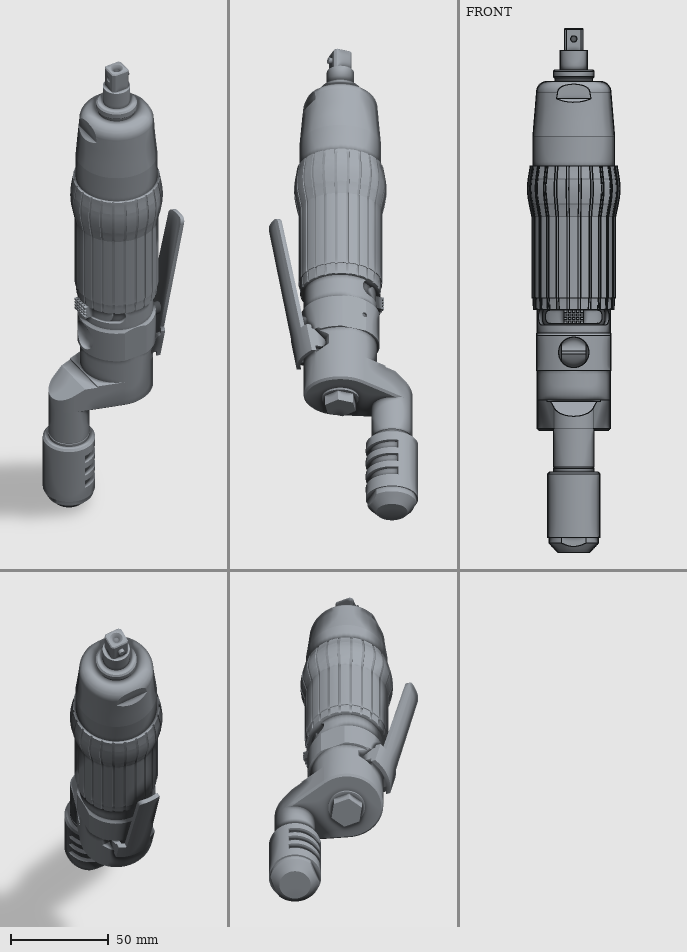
import cadquery as cq
import math

TOTAL_HEIGHT = 268.7

DRIVE_HALF_WIDTH = 4.8
DRIVE_CORNER_RADIUS = 6.05
DRIVE_TOP_CHAMFER = 0.5
CENTRE_MOUTH_RADIUS = 3.2
CENTRE_FLOOR_RADIUS = 1.3
CENTRE_DEPTH = 2.0
DRIVE_BOTTOM = 257.5
DETENT_Z = 263.3
DETENT_RADIUS = 1.5
DETENT_REACH = 6.7
DETENT_HOLE_DEPTH = 2.7
SPINDLE_RADIUS = 7.0
COLLAR_TOP = 247.5
COLLAR_BOTTOM = 243.2
COLLAR_RADIUS = 10.5
COLLAR_CHAMFER = 0.8
NECK_RADIUS = 9.7

CAP_TOP = 241.5
CAP_FILLET = 5.6
CAP_TOP_RADIUS = 19.0
CAP_BASE_RADIUS = 21.0
CAP_TAPER_BOTTOM = 213.3
CAP_FLAT_Y = 17.2
CAP_FLAT_BOTTOM = 232.7
CAP_LEDGE_DROP = 0.8

RING_TOP = 198.3
RING_TOP_RADIUS = 22.3
RING_DIAMETER = 47.5
RING_RADIUS = RING_DIAMETER / 2
RING_SHOULDER = 191.5
RING_SHOULDER_RADIUS = 23.5
RING_MIDDLE = 186.0
RING_FOOT = 178.7
RING_FOOT_RADIUS = 22.8
GRIP_TOP = 172.2
GRIP_RADIUS = 21.5
GRIP_BOTTOM = 130.5
SKIRT_BOTTOM = 124.7
SKIRT_TOP_RADIUS = 21.0
SKIRT_BOTTOM_RADIUS = 20.7
FLUTE_COUNT = 23
FLUTE_WIDTH = 1.3
FLUTE_DEPTH = 0.5

BODY_RADIUS = 18.8
BODY_BOTTOM = 62.5
BAND_RADIUS = 20.2
BAND_TOP = 111.2
BAND_BOTTOM = 93.2
BAND_LEDGE = 1.3
BAND_FLAT_X = 19.0
PIN_HOLE_Y = -6.0
PIN_HOLE_RADIUS = 1.3
PIN_HOLE_DEPTH = 2.7

SLOT_Z = 121
SLOT_HEIGHT = 8.3
SLOT_FLOOR_RADIUS = 16.7
SLOT_HALF_ANGLE = 61
SELECTOR_RADIUS = 18.3
SELECTOR_HEIGHT = 7.0
SELECTOR_HALF_ANGLE = 42
TAB_HALF_WIDTH = 5.0
TAB_REACH = 22.0
TAB_ROWS = 4
TAB_COLUMNS = 5
TAB_GROOVE_WIDTH = 0.8
TAB_GROOVE_DEPTH = 1.0

KNOB_Z = 102.6
KNOB_RADIUS = 7.8
KNOB_BACK_Y = -10.7
KNOB_BAR_HALF_LENGTH = 6.2
KNOB_BAR_HALF_THICKNESS = 0.8
KNOB_FRONT_Y = -14.8

TUBE_Y = -28.5
TUBE_RADIUS = 10.5
ARM_TOP = 78.2
ARM_CHAMFER = 1.0
ARM_STEP = 0.8
ARM_STEP_Y = -19.5
SLOPE_START_Y = -25.8
SLOPE_END_Z = 69.9
TUBE_GROOVE_Z = 43
TUBE_GROOVE_HEIGHT = 0.8
TUBE_GROOVE_DEPTH = 0.4
MUFFLER_RADIUS = 13.5
MUFFLER_TOP = 41.5
MUFFLER_BOTTOM = 7.8
MUFFLER_CHAMFER = 1.0
VENT_COUNT = 3
VENT_TOP = 35.5
VENT_HEIGHT = 4.5
VENT_PITCH = 8
VENT_FLOOR_RADIUS = 11.3
VENT_END_Y = -27
FOOT_RADIUS = 12.5
FOOT_CONE_TOP = 4.8
FOOT_BOTTOM_RADIUS = 8
FOOT_FLAT_OFFSET = 11.0

WASHER_RADIUS = 9.5
WASHER_BOTTOM = 61.5
PLUG_CORNER_RADIUS = 8.3
PLUG_BOTTOM = 56.2

LEVER_BOTTOM_Y = 22.5
LEVER_BOTTOM_Z = 80.0
LEVER_TOP_Y = 38.2
LEVER_TOP_Z = 158.8
LEVER_CURVE_RADIUS = 21.5
LEVER_THICKNESS = 2.1
LEVER_TOP_HALF_WIDTH = 6.0
LEVER_NECK_HALF_WIDTH = 6.7
LEVER_TOP_CORNER = 2.7
LEVER_BASE_LENGTH = 15.0
EAR_OUTER_X = 10.5
EAR_INNER_X = 7.8
EAR_TOP = 93.5
EAR_END_RADIUS = 3.0
HINGE_Y = 15.3
HINGE_Z = 86.8
HINGE_RADIUS = 1.5
HINGE_POCKET_Y = 12.0
HINGE_POCKET_BOTTOM = 81.0
HINGE_POCKET_TOP = 94.3
PLUNGER_RADIUS = 3.2

FAR = 80.5

lever_run = LEVER_TOP_Z - LEVER_BOTTOM_Z
lever_length = math.hypot(LEVER_TOP_Y - LEVER_BOTTOM_Y, lever_run)
tilt_sin = (LEVER_TOP_Y - LEVER_BOTTOM_Y) / lever_length
tilt_cos = lever_run / lever_length


def cylinder(radius, bottom, top, y=0):
    return cq.Workplane("XY", origin=(0, y, bottom)).circle(radius).extrude(top - bottom)


def cross_cylinder(radius, z, y_start, y_end):
    """Cylinder along Y in the plane X = 0."""
    plane = cq.Plane(origin=(0, y_start, z), xDir=(1, 0, 0), normal=(0, 1, 0))
    return cq.Workplane(plane).circle(radius).extrude(y_end - y_start)


def block(x_range, y_range, z_range):
    size = [high - low for low, high in (x_range, y_range, z_range)]
    corner = (x_range[0], y_range[0], z_range[0])
    return cq.Workplane("XY").box(*size, centered=False).translate(corner)


def front_sector(radius, half_angle, z, height):
    """Pie slice around the tool axis, centred on the -Y direction."""
    corner_x = radius * math.sin(math.radians(half_angle))
    corner_y = -radius * math.cos(math.radians(half_angle))
    return (
        cq.Workplane("XY", origin=(0, 0, z - height / 2))
        .lineTo(-corner_x, corner_y)
        .threePointArc((0, -radius), (corner_x, corner_y))
        .close()
        .extrude(height)
    )


def centre_recess():
    """Conical centre mark in the tip of the drive."""
    return (
        cq.Workplane("XZ")
        .moveTo(0, TOTAL_HEIGHT)
        .lineTo(CENTRE_MOUTH_RADIUS, TOTAL_HEIGHT)
        .lineTo(CENTRE_FLOOR_RADIUS, TOTAL_HEIGHT - CENTRE_DEPTH)
        .lineTo(0, TOTAL_HEIGHT - CENTRE_DEPTH)
        .close()
        .revolve(360, (0, 0), (0, 1))
    )


def make_output_end():
    side = 2 * DRIVE_HALF_WIDTH
    drive = (
        cq.Workplane("XY", origin=(0, 0, DRIVE_BOTTOM))
        .rect(side, side)
        .extrude(TOTAL_HEIGHT - DRIVE_BOTTOM)
    )
    turned = cylinder(DRIVE_CORNER_RADIUS, DRIVE_BOTTOM, TOTAL_HEIGHT)
    drive = drive.intersect(turned).faces(">Z").chamfer(DRIVE_TOP_CHAMFER).cut(centre_recess())
    hole_end = DETENT_HOLE_DEPTH - DRIVE_HALF_WIDTH
    drive = drive.cut(cross_cylinder(DETENT_RADIUS, DETENT_Z, -DRIVE_HALF_WIDTH, hole_end))
    detent = cross_cylinder(DETENT_RADIUS, DETENT_Z, 0, DETENT_REACH)
    spindle = cylinder(SPINDLE_RADIUS, CAP_TOP, DRIVE_BOTTOM)
    collar = cylinder(COLLAR_RADIUS, COLLAR_BOTTOM, COLLAR_TOP).edges().chamfer(COLLAR_CHAMFER)
    neck = cylinder(NECK_RADIUS, CAP_TOP, COLLAR_BOTTOM)
    return drive.union(detent).union(spindle).union(collar).union(neck)


def make_cap():
    fillet_start = CAP_TOP - CAP_FILLET
    top_flat_radius = CAP_TOP_RADIUS - CAP_FILLET
    diagonal = CAP_FILLET * math.sqrt(0.5)
    cap = (
        cq.Workplane("XZ")
        .moveTo(0, RING_TOP)
        .lineTo(CAP_BASE_RADIUS, RING_TOP)
        .lineTo(CAP_BASE_RADIUS, CAP_TAPER_BOTTOM)
        .lineTo(CAP_TOP_RADIUS, fillet_start)
        .threePointArc((top_flat_radius + diagonal, fillet_start + diagonal), (top_flat_radius, CAP_TOP))
        .lineTo(0, CAP_TOP)
        .close()
        .revolve(360, (0, 0), (0, 1))
    )
    flat_cut = (
        cq.Workplane("YZ")
        .moveTo(CAP_FLAT_Y, CAP_TOP)
        .lineTo(CAP_FLAT_Y, CAP_FLAT_BOTTOM)
        .lineTo(CAP_BASE_RADIUS, CAP_FLAT_BOTTOM - CAP_LEDGE_DROP * (CAP_BASE_RADIUS - CAP_FLAT_Y))
        .lineTo(CAP_BASE_RADIUS, CAP_TOP)
        .close()
        .extrude(FAR, both=True)
    )
    return cap.cut(flat_cut).cut(flat_cut.mirror("XZ"))


def grip_blank(inset):
    """Turned grip with its bulged ring, with every radius reduced by the inset."""
    return (
        cq.Workplane("XZ")
        .moveTo(0, SKIRT_BOTTOM)
        .lineTo(SKIRT_BOTTOM_RADIUS - inset, SKIRT_BOTTOM)
        .lineTo(SKIRT_TOP_RADIUS - inset, GRIP_BOTTOM)
        .lineTo(GRIP_RADIUS - inset, GRIP_BOTTOM)
        .lineTo(GRIP_RADIUS - inset, GRIP_TOP)
        .lineTo(RING_FOOT_RADIUS - inset, RING_FOOT)
        .threePointArc((RING_RADIUS - inset, RING_MIDDLE), (RING_SHOULDER_RADIUS - inset, RING_SHOULDER))
        .lineTo(RING_TOP_RADIUS - inset, RING_TOP)
        .lineTo(0, RING_TOP)
        .close()
        .revolve(360, (0, 0), (0, 1))
    )


def make_grip():
    half_width = FLUTE_WIDTH / 2
    flute = block((-half_width, half_width), (0, FAR), (SKIRT_BOTTOM, RING_TOP))
    grip = grip_blank(0)
    core = grip_blank(FLUTE_DEPTH)
    for index in range(FLUTE_COUNT):
        angle = index * 360 / FLUTE_COUNT
        grip = grip.cut(flute.rotate((0, 0, 0), (0, 0, 1), angle))
    return grip.union(core)


def make_band():
    band = (
        cq.Workplane("XZ")
        .moveTo(0, BAND_BOTTOM)
        .lineTo(BAND_RADIUS, BAND_BOTTOM)
        .lineTo(BAND_RADIUS, BAND_TOP)
        .lineTo(BODY_RADIUS, BAND_TOP + BAND_LEDGE)
        .lineTo(0, BAND_TOP + BAND_LEDGE)
        .close()
        .revolve(360, (0, 0), (0, 1))
    )
    flats = block((-BAND_FLAT_X, BAND_FLAT_X), (-FAR, FAR), (0, TOTAL_HEIGHT))
    pin_hole = (
        cq.Workplane("YZ", origin=(-BAND_FLAT_X, 0, 0))
        .center(PIN_HOLE_Y, KNOB_Z)
        .circle(PIN_HOLE_RADIUS)
        .extrude(PIN_HOLE_DEPTH)
    )
    return band.intersect(flats).cut(pin_hole)


def curved_bar(radius, half_angle, height):
    """Bar around the front of the tool axis at the selector level, with round ends."""
    bar = front_sector(FAR, half_angle, SLOT_Z, height)
    for angle in (-half_angle, half_angle):
        end = cross_cylinder(height / 2, SLOT_Z, -FAR, 0)
        bar = bar.union(end.rotate((0, 0, 0), (0, 0, 1), angle))
    return bar.intersect(cylinder(radius, BAND_TOP, GRIP_BOTTOM))


def selector_slot():
    slot = curved_bar(BAND_RADIUS, SLOT_HALF_ANGLE, SLOT_HEIGHT)
    return slot.cut(cylinder(SLOT_FLOOR_RADIUS, BAND_TOP, GRIP_BOTTOM))


def make_selector():
    return curved_bar(SELECTOR_RADIUS, SELECTOR_HALF_ANGLE, SELECTOR_HEIGHT).union(make_tab())


def make_tab():
    """Finger tab with a grid of grooves across its face."""
    bottom = SLOT_Z - SELECTOR_HEIGHT / 2
    tab = block((-TAB_HALF_WIDTH, TAB_HALF_WIDTH), (-TAB_REACH, 0), (bottom, bottom + SELECTOR_HEIGHT))
    half_groove = TAB_GROOVE_WIDTH / 2
    groove_y = (-TAB_REACH, TAB_GROOVE_DEPTH - TAB_REACH)
    for row in range(1, TAB_ROWS):
        z = bottom + row * SELECTOR_HEIGHT / TAB_ROWS
        tab = tab.cut(block((-FAR, FAR), groove_y, (z - half_groove, z + half_groove)))
    for column in range(1, TAB_COLUMNS):
        x = -TAB_HALF_WIDTH + column * 2 * TAB_HALF_WIDTH / TAB_COLUMNS
        tab = tab.cut(block((x - half_groove, x + half_groove), groove_y, (0, TOTAL_HEIGHT)))
    return tab


def knob_pocket():
    return cross_cylinder(KNOB_RADIUS, KNOB_Z, -FAR, KNOB_BACK_Y)


def make_knob():
    """Grip bar across the pocket, with a sloped flank above and below it."""
    bar = KNOB_BAR_HALF_THICKNESS
    ridge = (
        cq.Workplane("YZ", origin=(-KNOB_BAR_HALF_LENGTH, 0, KNOB_Z))
        .moveTo(KNOB_FRONT_Y, -bar)
        .lineTo(KNOB_FRONT_Y, bar)
        .lineTo(KNOB_BACK_Y, KNOB_RADIUS)
        .lineTo(KNOB_BACK_Y, -KNOB_RADIUS)
        .close()
        .extrude(2 * KNOB_BAR_HALF_LENGTH)
    )
    return ridge.intersect(knob_pocket())


def make_arm():
    """Arm tangent to the valve body and to the exhaust tube, sloped at its outer end."""
    lean = (BODY_RADIUS - TUBE_RADIUS) / TUBE_Y
    spread = math.sqrt(1 - lean**2)
    body_x = BODY_RADIUS * spread
    body_y = BODY_RADIUS * lean
    tube_x = TUBE_RADIUS * spread
    tube_y = TUBE_Y + TUBE_RADIUS * lean
    arm = (
        cq.Workplane("XY", origin=(0, 0, BODY_BOTTOM))
        .moveTo(-body_x, body_y)
        .threePointArc((0, BODY_RADIUS), (body_x, body_y))
        .lineTo(tube_x, tube_y)
        .threePointArc((0, TUBE_Y - TUBE_RADIUS), (-tube_x, tube_y))
        .close()
        .extrude(ARM_TOP - BODY_BOTTOM)
        .faces("<Z")
        .edges()
        .chamfer(ARM_CHAMFER)
    )
    tube = cylinder(TUBE_RADIUS, MUFFLER_TOP, BODY_BOTTOM + ARM_CHAMFER, TUBE_Y)
    return arm.cut(arm_top_cut()).union(tube)


def arm_top_cut():
    """Shallow step, then the slope toward the outer end."""
    step_top = ARM_TOP - ARM_STEP
    slope = (step_top - SLOPE_END_Z) / (SLOPE_START_Y - TUBE_Y + TUBE_RADIUS)
    return (
        cq.Workplane("YZ")
        .moveTo(ARM_STEP_Y, ARM_TOP)
        .lineTo(ARM_STEP_Y, step_top)
        .lineTo(SLOPE_START_Y, step_top)
        .lineTo(SLOPE_START_Y - FAR, step_top - slope * FAR)
        .lineTo(SLOPE_START_Y - FAR, ARM_TOP)
        .close()
        .extrude(FAR, both=True)
    )


def tube_groove():
    top = TUBE_GROOVE_Z + TUBE_GROOVE_HEIGHT
    outer = cylinder(TUBE_RADIUS, TUBE_GROOVE_Z, top, TUBE_Y)
    return outer.cut(cylinder(TUBE_RADIUS - TUBE_GROOVE_DEPTH, TUBE_GROOVE_Z, top, TUBE_Y))


def make_muffler():
    shell = cylinder(MUFFLER_RADIUS, MUFFLER_BOTTOM, MUFFLER_TOP, TUBE_Y)
    shell = shell.faces(">Z").edges().chamfer(MUFFLER_CHAMFER)
    core = cylinder(VENT_FLOOR_RADIUS, MUFFLER_BOTTOM, MUFFLER_TOP, TUBE_Y)
    for index in range(VENT_COUNT):
        top = VENT_TOP - index * VENT_PITCH
        vent = block((-FAR, FAR), (VENT_END_Y, FAR), (top - VENT_HEIGHT, top))
        shell = shell.cut(vent.cut(core))
    foot = (
        cq.Workplane("XZ", origin=(0, TUBE_Y, 0))
        .lineTo(FOOT_BOTTOM_RADIUS, 0)
        .lineTo(FOOT_RADIUS, FOOT_CONE_TOP)
        .lineTo(FOOT_RADIUS, MUFFLER_BOTTOM)
        .lineTo(0, MUFFLER_BOTTOM)
        .close()
        .revolve(360, (0, 0), (0, 1))
    )
    flats = block(
        (-FAR, FAR), (TUBE_Y - FOOT_FLAT_OFFSET, TUBE_Y + FOOT_FLAT_OFFSET), (0, MUFFLER_BOTTOM)
    )
    return shell.union(foot.intersect(flats))


def make_plug():
    washer = cylinder(WASHER_RADIUS, WASHER_BOTTOM, BODY_BOTTOM)
    hexagon = (
        cq.Workplane("XY", origin=(0, 0, PLUG_BOTTOM))
        .transformed(rotate=(0, 0, 90))
        .polygon(6, 2 * PLUG_CORNER_RADIUS)
        .extrude(WASHER_BOTTOM - PLUG_BOTTOM)
    )
    return washer.union(hexagon)


def hinge_pocket():
    """Room beside the hinge tongue, on the +X side."""
    slant = EAR_OUTER_X - EAR_INNER_X
    return (
        cq.Workplane("YZ", origin=(EAR_INNER_X, 0, 0))
        .moveTo(FAR, HINGE_POCKET_TOP)
        .lineTo(HINGE_Y + slant / 2, HINGE_POCKET_TOP)
        .lineTo(HINGE_POCKET_Y, HINGE_Z + slant)
        .lineTo(HINGE_POCKET_Y, HINGE_Z - slant)
        .lineTo(HINGE_Y + slant / 2, HINGE_POCKET_BOTTOM)
        .lineTo(FAR, HINGE_POCKET_BOTTOM)
        .close()
        .extrude(FAR)
    )


def hinge_pin():
    return (
        cq.Workplane("YZ", origin=(-EAR_OUTER_X, 0, 0))
        .center(HINGE_Y, HINGE_Z)
        .circle(HINGE_RADIUS)
        .extrude(2 * EAR_OUTER_X)
    )


def lever_section_plane():
    """Plane square to the lever at its lower end, with its local Y pointing outward."""
    return cq.Plane(
        origin=(0, LEVER_BOTTOM_Y, LEVER_BOTTOM_Z), xDir=(1, 0, 0), normal=(0, tilt_sin, tilt_cos)
    )


def lever_rod(radius):
    """Cylinder along the lever, concentric with its curved sheet."""
    return (
        cq.Workplane(lever_section_plane())
        .center(0, -LEVER_CURVE_RADIUS)
        .circle(radius)
        .extrude(lever_length)
    )


def make_lever():
    face_plane = cq.Plane(
        origin=(0, LEVER_BOTTOM_Y, LEVER_BOTTOM_Z), xDir=(1, 0, 0), normal=(0, -tilt_cos, tilt_sin)
    )
    plate = (
        cq.Workplane(face_plane)
        .polyline([
            (-EAR_OUTER_X, 0),
            (EAR_OUTER_X, 0),
            (EAR_OUTER_X, LEVER_BASE_LENGTH),
            (LEVER_NECK_HALF_WIDTH, LEVER_BASE_LENGTH),
            (LEVER_TOP_HALF_WIDTH, lever_length),
            (-LEVER_TOP_HALF_WIDTH, lever_length),
            (-LEVER_NECK_HALF_WIDTH, LEVER_BASE_LENGTH),
            (-EAR_OUTER_X, LEVER_BASE_LENGTH),
        ])
        .close()
        .extrude(LEVER_CURVE_RADIUS / 2)
        .faces(">Z")
        .edges("not |X")
        .edges("<X or >X")
        .fillet(LEVER_TOP_CORNER)
    )
    ear = make_ear()
    plate = plate.cut(lever_rod(LEVER_CURVE_RADIUS - LEVER_THICKNESS))
    lever = plate.union(ear).union(ear.mirror("YZ")).intersect(lever_rod(LEVER_CURVE_RADIUS))
    return lever.cut(hinge_pin())


def make_ear():
    """Ear on the +X side, rounded about the hinge axis."""
    ear_bottom = HINGE_Z - EAR_END_RADIUS
    diagonal = EAR_END_RADIUS * math.sqrt(0.5)
    return (
        cq.Workplane("YZ", origin=(EAR_INNER_X, 0, 0))
        .moveTo(FAR, ear_bottom)
        .lineTo(HINGE_Y, ear_bottom)
        .threePointArc((HINGE_Y - EAR_END_RADIUS, HINGE_Z), (HINGE_Y - diagonal, HINGE_Z + diagonal))
        .lineTo(BODY_RADIUS, EAR_TOP)
        .lineTo(FAR, EAR_TOP)
        .close()
        .extrude(EAR_OUTER_X - EAR_INNER_X)
    )


def make_tool():
    body = cylinder(BODY_RADIUS, BODY_BOTTOM + ARM_CHAMFER, SKIRT_BOTTOM)
    body = body.union(make_arm()).union(make_band())
    body = body.cut(selector_slot()).union(make_selector())
    body = body.cut(knob_pocket()).union(make_knob())
    body = body.cut(hinge_pocket()).cut(hinge_pocket().mirror("YZ")).union(hinge_pin())
    body = body.union(make_plug()).union(make_muffler()).cut(tube_groove())
    plunger = cross_cylinder(PLUNGER_RADIUS, KNOB_Z, 0, LEVER_TOP_Y)
    plunger = plunger.intersect(lever_rod(LEVER_CURVE_RADIUS - LEVER_THICKNESS))
    body = body.union(plunger)
    return body.union(make_grip()).union(make_cap()).union(make_output_end())


lever = make_lever()
tool = make_tool()
result = cq.Compound.makeCompound([tool.val(), lever.val()])